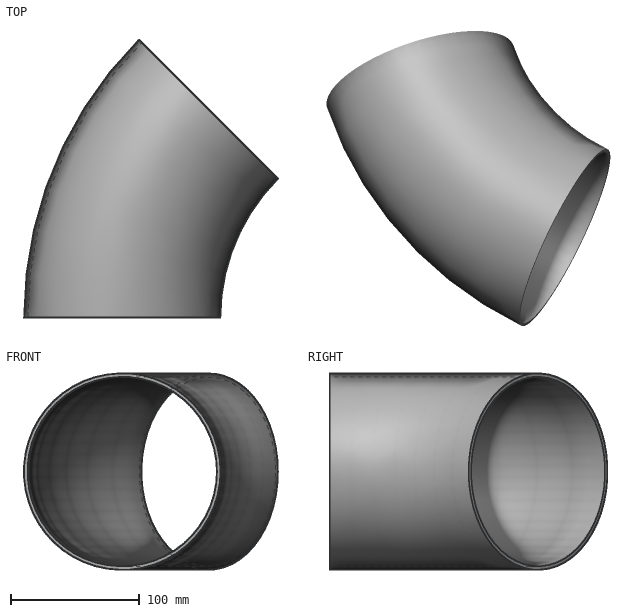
import cadquery as cq
import math

bend_angle = 45.0
overall_length = 215.5
bend_ratio = 1.5
wall = 2.8

outermost_bend_radius = overall_length / math.sin(math.radians(bend_angle))
outside_diameter = outermost_bend_radius / (bend_ratio + 0.5)
bend_radius = bend_ratio * outside_diameter
outside_radius = outside_diameter / 2
inside_radius = outside_radius - wall

inlet_ring = cq.Workplane("XZ").circle(outside_radius).circle(inside_radius)

result = inlet_ring.revolve(bend_angle, (bend_radius, 2.2, 0), (bend_radius, 0, 0))